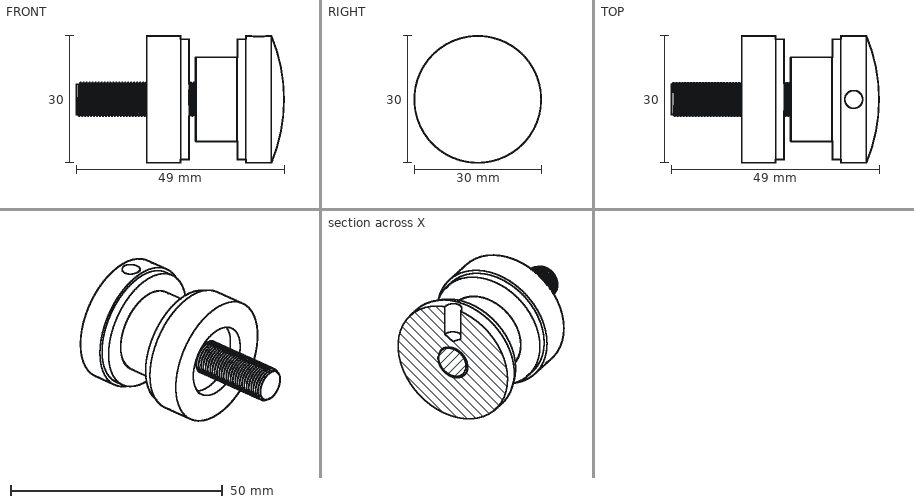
import cadquery as cq
import math


OVERALL = 49.0
DISC_START = 16.55
DISC_LENGTH = 8.0
WASHER_LENGTH = 2.0
GLASS_GAP = 1.45
COLLAR_LENGTH = 9.95
DOME_HEIGHT = 3.0

disc_end = DISC_START + DISC_LENGTH
collar_start = disc_end + WASHER_LENGTH + GLASS_GAP
collar_end = collar_start + COLLAR_LENGTH
cap_start = collar_end + WASHER_LENGTH
dome_start = OVERALL - DOME_HEIGHT

BODY_DIAMETER = 30.0
WASHER_DIAMETER = 28.4
COLLAR_DIAMETER = 20.0
THREAD_DIAMETER = 8.0

RECESS_DIAMETER = 17.15
RECESS_DEPTH = 3.0
COLLAR_CHAMFER = 0.2

STUD_LENGTH = 45.0
ROOT_TURNS = 64
THREAD_DEPTH = 0.4
THREAD_START_ANGLE = 151.0
pitch = STUD_LENGTH / ROOT_TURNS
crest_radius = THREAD_DIAMETER / 2
root_radius = crest_radius - THREAD_DEPTH

BAR_HOLE_DIAMETER = 4.2
BAR_HOLE_DEPTH = 7.85
DRILL_POINT_ANGLE = 118.0


def cylinder(diameter, start, length):
    """Cylinder on the X axis."""
    return cq.Workplane("YZ", origin=(start, 0, 0)).circle(diameter / 2).extrude(length)


def ring(diameter, start, length):
    """Cylinder with a through bore that fits the stud."""
    return cylinder(diameter, start, length).cut(cylinder(THREAD_DIAMETER, start, length))


def helix_turn(radius, start):
    """One right-handed turn of a helix around Z."""
    helix = cq.Wire.makeHelix(pitch, pitch, radius).Edges()[0]
    return helix.translate(cq.Vector(0, 0, start))


def make_stud():
    """Stud with a V thread whose neighbouring turns meet along one root helix."""
    faces = []

    for turn in range(ROOT_TURNS - 1):
        lower_root = helix_turn(root_radius, turn * pitch)
        crest = helix_turn(crest_radius, (turn + 0.5) * pitch)
        upper_root = helix_turn(root_radius, (turn + 1) * pitch)
        faces.append(cq.Face.makeRuledSurface(lower_root, crest))
        faces.append(cq.Face.makeRuledSurface(crest, upper_root))

    last_turn = STUD_LENGTH - pitch
    for end, root_start in ((0, 0), (STUD_LENGTH, last_turn)):
        rim = cq.Edge.makeCircle(root_radius, cq.Vector(0, 0, end))
        ridge_end = [
            cq.Vector(root_radius, 0, root_start),
            cq.Vector(crest_radius, 0, root_start + pitch / 2),
            cq.Vector(root_radius, 0, root_start + pitch),
        ]
        faces.append(cq.Face.makeFromWires(cq.Wire.assembleEdges([rim])))
        faces.append(cq.Face.makeRuledSurface(rim, helix_turn(root_radius, root_start)))
        faces.append(cq.Face.makeFromWires(cq.Wire.makePolygon(ridge_end, close=True)))

    right_handed = cq.Solid.makeSolid(cq.Shell.makeShell(faces))
    return (
        cq.Workplane(obj=right_handed)
        .mirror("XZ")
        .rotate((0, 0, 0), (0, 1, 0), 90)
        .rotate((0, 0, 0), (1, 0, 0), THREAD_START_ANGLE)
    )


def make_disc():
    return ring(BODY_DIAMETER, DISC_START, DISC_LENGTH).cut(
        cylinder(RECESS_DIAMETER, DISC_START, RECESS_DEPTH)
    )


def make_washer(start):
    return ring(WASHER_DIAMETER, start, WASHER_LENGTH)


def make_collar():
    collar = ring(COLLAR_DIAMETER, collar_start, COLLAR_LENGTH)
    outer_edges = cq.selectors.RadiusNthSelector(-1)
    return collar.edges(outer_edges).chamfer(COLLAR_CHAMFER)


def make_cap():
    rim = BODY_DIAMETER / 2
    dome_radius = (rim**2 + DOME_HEIGHT**2) / (2 * DOME_HEIGHT)
    mid_angle = math.asin(rim / dome_radius) / 2
    dome_middle = (
        OVERALL - dome_radius * (1 - math.cos(mid_angle)),
        dome_radius * math.sin(mid_angle),
    )
    body = (
        cq.Workplane("XY")
        .moveTo(cap_start, 0)
        .lineTo(cap_start, rim)
        .lineTo(dome_start, rim)
        .threePointArc(dome_middle, (OVERALL, 0))
        .close()
        .revolve(360, (0, 0, 0), (1, 0, 0))
    )
    hole_radius = BAR_HOLE_DIAMETER / 2
    floor = rim - BAR_HOLE_DEPTH
    tip = floor - hole_radius / math.tan(math.radians(DRILL_POINT_ANGLE / 2))
    hole_x = (cap_start + dome_start) / 2
    bar_hole = (
        cq.Workplane("XZ", origin=(hole_x, 0, 0))
        .polyline([(0, tip), (hole_radius, floor), (hole_radius, rim), (0, rim)])
        .close()
        .revolve(360, (0, 0, 0), (0, 1, 0))
    )
    stud_hole = cylinder(THREAD_DIAMETER, cap_start, STUD_LENGTH - cap_start)
    return body.cut(bar_hole).cut(stud_hole)


stud = make_stud()
disc = make_disc()
washers = [make_washer(start) for start in (disc_end, collar_end)]
collar = make_collar()
cap = make_cap()

result = cq.Compound.makeCompound(
    [stud.val(), disc.val(), *[washer.val() for washer in washers], collar.val(), cap.val()]
)